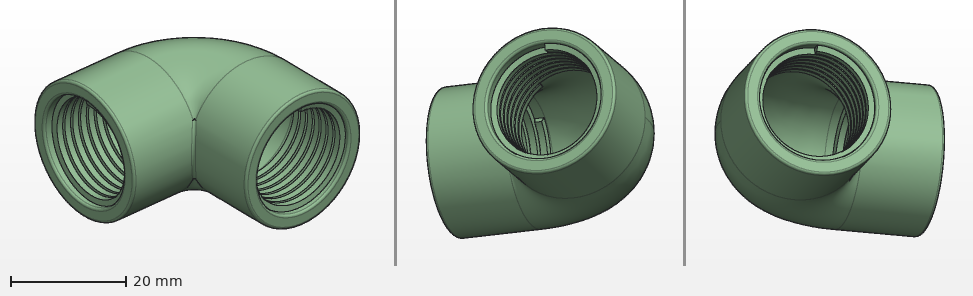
import cadquery as cq

overall_length = 40.25
outer_diameter = 26.5
bore_diameter = 20.97
socket_length = 14.9
edge_radius = 0.5
crotch_radius = 0.5
crotch_setback = 0.3
crotch_length = 3.2
crotch_rough_setback = 0.85

thread_pitch = 1.8
crest_diameter = 18.85
thread_root_width = 1.77
thread_crest_width = 1.3
thread_start = 1.35
thread_turns = 6.9
root_overlap = 0.1

outer_radius = outer_diameter / 2
bore_radius = bore_diameter / 2
crest_radius = crest_diameter / 2
bend_radius = overall_length - socket_length - outer_radius

bend_axis_point = cq.Vector(bend_radius, -bend_radius, 0)
socket_end = overall_length - outer_radius


def socket_section():
    """Workplane where the +X socket meets the bend."""
    return cq.Workplane("YZ", origin=(bend_radius, 0, 0))


def carry_to_y_socket(shape):
    """Carry a shape from the +X socket to the -Y socket by a quarter turn about Z."""
    return shape.rotate((0, 0, 0), (0, 0, 1), -90)


def quarter_bend(radius):
    """Quarter turn of a round section, less any part of it beyond the bend axis."""
    section = socket_section().circle(radius).wires().val()
    beyond_axis = socket_section().center(-bend_radius - radius, 0).rect(2 * radius, 2 * radius)
    face = cq.Face.makeFromWires(section).cut(cq.Face.makeFromWires(beyond_axis.wires().val()))
    bend = cq.Solid.revolve(
        face.Faces()[0], 90, bend_axis_point, bend_axis_point + cq.Vector(0, 0, 0.4)
    )
    return cq.Workplane(bend)


def crotch_block(setback):
    """Square block that reaches past the bend axis by the setback, toward the origin."""
    corner = bend_radius - setback
    side = setback + crotch_length
    return (
        cq.Workplane("XY", origin=(corner + side / 2, -corner - side / 2, 0))
        .rect(side, side)
        .extrude(outer_radius, both=True)
    )


def crotch_blend():
    """Corner of the two sockets about the bend axis, with the inside edge between them rounded."""
    socket = cq.Workplane("YZ").circle(outer_radius).extrude(socket_end)
    block = crotch_block(crotch_rough_setback)
    corner = block.intersect(socket).union(block.intersect(carry_to_y_socket(socket)))
    return corner.edges("%ELLIPSE").fillet(crotch_radius).intersect(crotch_block(crotch_setback))


def outer_body():
    socket = socket_section().circle(outer_radius).extrude(socket_length)
    socket = socket.faces(">X").edges().fillet(edge_radius)
    body = quarter_bend(outer_radius).union(socket).union(carry_to_y_socket(socket))
    return body.union(crotch_blend())


def socket_bore():
    """Bore of the +X socket, flaring out to a rounded mouth."""
    mouth_start = (socket_end - edge_radius, bore_radius)
    mouth_end = (socket_end, bore_radius + edge_radius)
    return (
        cq.Workplane("XY")
        .moveTo(bend_radius, 0)
        .lineTo(bend_radius, bore_radius)
        .lineTo(*mouth_start)
        .radiusArc(mouth_end, -edge_radius)
        .lineTo(socket_end, 0)
        .close()
        .revolve(360, (0, 0, 0), (1, 0, 0))
    )


def make_elbow():
    bore = socket_bore()
    return outer_body().cut(quarter_bend(bore_radius)).cut(bore).cut(carry_to_y_socket(bore))


def make_thread():
    """Ridge of the +X socket, running inward from its end with a trapezoid section."""
    flank_run = (thread_root_width - thread_crest_width) / 2
    overlap_run = flank_run * root_overlap / (bore_radius - crest_radius)
    root_half = thread_root_width / 2 + overlap_run
    crest_half = thread_crest_width / 2
    base_radius = bore_radius + root_overlap
    helix = cq.Wire.makeHelix(thread_pitch, thread_pitch * thread_turns, bore_radius)
    ridge = (
        cq.Workplane("XZ")
        .polyline(
            [
                (base_radius, -root_half),
                (base_radius, root_half),
                (crest_radius, crest_half),
                (crest_radius, -crest_half),
            ]
        )
        .close()
        .sweep(cq.Workplane(helix), isFrenet=True)
    )
    ridge = ridge.rotate((0, 0, 0), (0, 1, 0), -90)
    ridge = ridge.translate((socket_end - thread_start, 0, 0))
    return ridge.intersect(socket_section().circle(bore_radius).extrude(socket_length))


elbow = make_elbow()
first_thread = make_thread()
threads = [first_thread, carry_to_y_socket(first_thread)]

result = cq.Compound.makeCompound([elbow.val(), *[thread.val().Solids()[0] for thread in threads]])